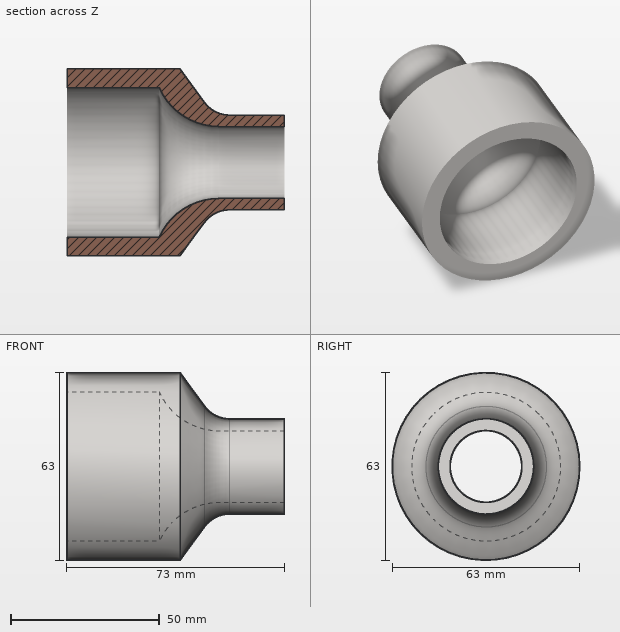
import cadquery as cq
import math

LENGTH = 73.0
LARGE_OD = 63.0
SMALL_OD = 32.0
LARGE_BORE = 50.0
SMALL_BORE = 24.0

LARGE_END_LENGTH = 38.0
BLEND_RADIUS = 10.4
BLEND_END_X = 54.6

FLARE_START_X = 31.0
FLARE_RADIUS = 22.1


def revolve_about_axis(profile):
    """Full revolution of a closed half profile about the X axis."""
    return profile.revolve(360, (0, 0, 0), (1, 0, 0))


def outer_body():
    """Solid of the outside: large end, cone, tangent blend and small end."""
    large_r = LARGE_OD / 2
    small_r = SMALL_OD / 2

    center_r = small_r + BLEND_RADIUS
    run = BLEND_END_X - LARGE_END_LENGTH
    rise = large_r - center_r
    cone_angle = math.asin(BLEND_RADIUS / math.hypot(run, rise)) + math.atan2(rise, run)

    def on_blend(angle):
        """Point on the blend circle, turned by angle back from the small end."""
        return (
            BLEND_END_X - BLEND_RADIUS * math.sin(angle),
            center_r - BLEND_RADIUS * math.cos(angle),
        )

    return revolve_about_axis(
        cq.Workplane("XY")
        .moveTo(0, 0)
        .lineTo(0, large_r)
        .lineTo(LARGE_END_LENGTH, large_r)
        .lineTo(*on_blend(cone_angle))
        .threePointArc(on_blend(cone_angle / 2), (BLEND_END_X, small_r))
        .lineTo(LENGTH, small_r)
        .lineTo(LENGTH, 0)
        .close()
    )


def inner_passage():
    """Solid of the passage: large bore, flared throat and small bore."""
    large_r = LARGE_BORE / 2
    small_r = SMALL_BORE / 2

    flare_angle = math.acos(1 - (large_r - small_r) / FLARE_RADIUS)
    flare_end_x = FLARE_START_X + FLARE_RADIUS * math.sin(flare_angle)
    flare_middle = (
        flare_end_x - FLARE_RADIUS * math.sin(flare_angle / 2),
        small_r + FLARE_RADIUS * (1 - math.cos(flare_angle / 2)),
    )

    return revolve_about_axis(
        cq.Workplane("XY")
        .moveTo(0, 0)
        .lineTo(0, large_r)
        .lineTo(FLARE_START_X, large_r)
        .threePointArc(flare_middle, (flare_end_x, small_r))
        .lineTo(LENGTH, small_r)
        .lineTo(LENGTH, 0)
        .close()
    )


result = outer_body().cut(inner_passage())